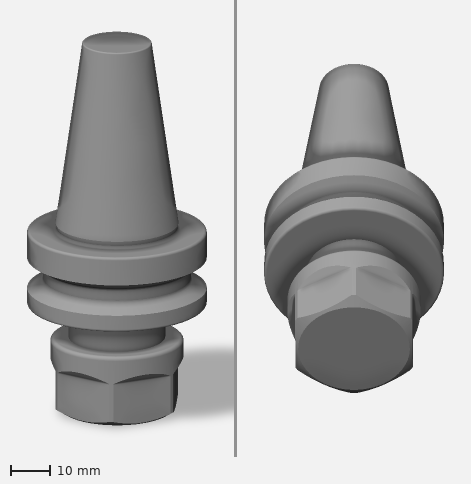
import cadquery as cq
import math

total_height = 98.4

taper_top_diameter = 17.7
taper_base_diameter = 31.5
taper_base_z = 49.9
taper_top_fillet = 0.4
relief_diameter = 30.9
foot_fillet = 0.8

flange_diameter = 46.0
flange_bottom_z = 27.9
flange_top_z = 47.9
flange_fillet = 0.7
groove_diameter = 37.8
groove_floor_bottom_z = 34.7
groove_floor_top_z = 38.2
groove_wall_angle = 30.0
groove_fillet = 0.6

neck_diameter = 24.7
nut_diameter = 34.0
nut_top_z = 19.2
nut_top_fillet = 1.0
nut_bottom_diameter = 28.5
nut_bottom_chamfer_height = 1.8
hex_across_flats = 30.0
hex_sides = 6
flat_top_z = 12.0
runout_fillet = 0.6


def revolve_profile(points):
    """Revolve a closed (radius, z) outline about the Z axis."""
    return cq.Workplane("XZ").polyline(points).close().revolve(360, (0, 0), (0, 1))


def make_shank():
    relief_radius = relief_diameter / 2
    foot_radius = relief_radius + foot_fillet
    relief_bottom_z = flange_top_z + foot_fillet
    arc_inset = foot_fillet * math.sin(math.radians(45))
    shank = (
        cq.Workplane("XZ")
        .moveTo(0, flange_bottom_z)
        .lineTo(foot_radius, flange_bottom_z)
        .lineTo(foot_radius, flange_top_z)
        .threePointArc(
            (foot_radius - arc_inset, relief_bottom_z - arc_inset),
            (relief_radius, relief_bottom_z),
        )
        .lineTo(taper_base_diameter / 2, taper_base_z)
        .lineTo(taper_top_diameter / 2, total_height)
        .lineTo(0, total_height)
        .close()
        .revolve(360, (0, 0), (0, 1))
    )
    return shank.faces(">Z").edges().fillet(taper_top_fillet)


def make_flange():
    radius = flange_diameter / 2
    groove_radius = groove_diameter / 2
    wall_height = (radius - groove_radius) * math.tan(math.radians(groove_wall_angle))
    flange = revolve_profile([
        (0, flange_bottom_z),
        (radius, flange_bottom_z),
        (radius, groove_floor_bottom_z - wall_height),
        (groove_radius, groove_floor_bottom_z),
        (groove_radius, groove_floor_top_z),
        (radius, groove_floor_top_z + wall_height),
        (radius, flange_top_z),
        (0, flange_top_z),
    ])
    groove_corners = cq.selectors.RadiusNthSelector(0)
    flange = flange.edges("%CIRCLE").edges(groove_corners).fillet(groove_fillet)
    return flange.faces("|Z").edges().fillet(flange_fillet)


def make_neck():
    return cq.Workplane("XY").circle(neck_diameter / 2).extrude(flange_bottom_z)


def make_nut():
    radius = nut_diameter / 2
    nut = revolve_profile([
        (0, 0),
        (nut_bottom_diameter / 2, 0),
        (radius, nut_bottom_chamfer_height),
        (radius, nut_top_z),
        (0, nut_top_z),
    ])
    nut = nut.faces(">Z").edges().fillet(nut_top_fillet)
    flat_distance = hex_across_flats / 2
    cut_depth = nut_diameter - flat_distance
    flat_cutter = (
        cq.Workplane("XZ")
        .polyline([
            (flat_distance, 0),
            (flat_distance, flat_top_z),
            (flat_distance + cut_depth, flat_top_z + cut_depth),
            (flat_distance + cut_depth, 0),
        ])
        .close()
        .extrude(nut_diameter / 2, both=True)
        .edges(cq.selectors.NearestToPointSelector((flat_distance, 0, flat_top_z)))
        .fillet(runout_fillet)
    )
    first_flat_angle = 180 / hex_sides
    for side in range(hex_sides):
        angle = first_flat_angle + side * 360 / hex_sides
        nut = nut.cut(flat_cutter.rotate((0, 0, 0), (0, 0, 1), angle))
    return nut


result = make_shank().union(make_flange()).union(make_neck()).union(make_nut())